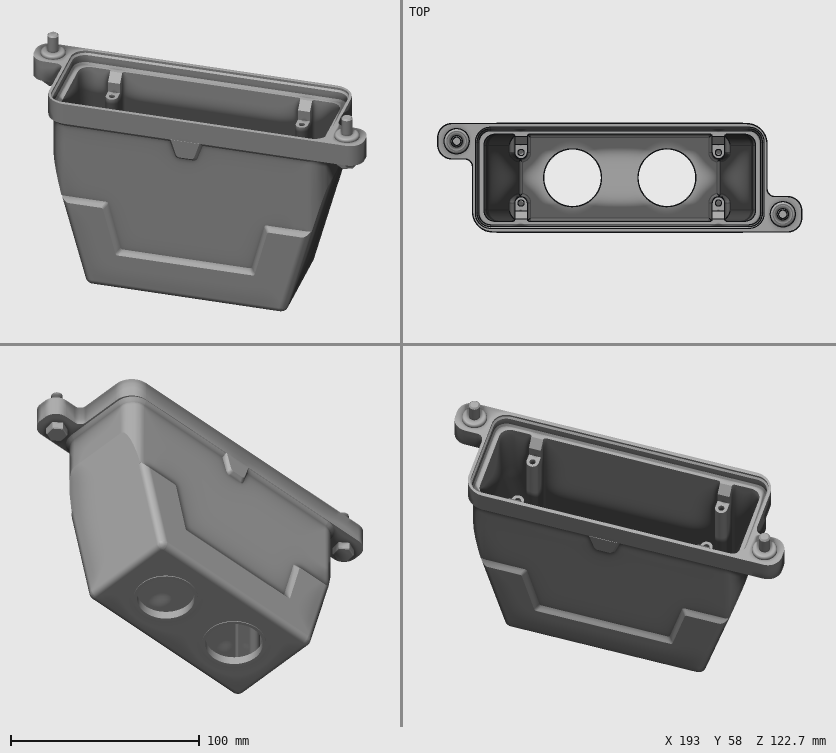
import cadquery as cq

TOTAL_LENGTH = 193.0
TOTAL_WIDTH = 58.0
TOTAL_HEIGHT = 122.7

FLANGE_HALF_X = 78.1
FLANGE_HALF_Y = 28.8
FLANGE_THICKNESS = 12.2
FLANGE_CORNER_R = 11.0
EAR_WIDTH = 18.9
EAR_CORNER_R = 7.7
EAR_INNER_R = 4.0
SKIRT_HEIGHT = 2.3
SKIRT_OVERHANG = 1.9

SCREW_TOP = 12.0
SCREW_DIAMETER = 6.0
SCREW_TIP_CHAMFER = 0.8
SCREW_X = 86.4
COLLAR_DIAMETER = 13.4
COLLAR_HEIGHT = 2.0
COLLAR_ROUND = 1.5
HEAD_ACROSS_CORNERS = 11.5
HEAD_TURN = 22.0
HEAD_GAP = 0.7
HEAD_HEIGHT = 4.5
HEAD_CHAMFER = 0.5

BODY_HALF_X = 75.2
BODY_HALF_Y = 26.7
BODY_CORNER_R = 8.8
BEND_Z = -34.7
WALL_LEAN = 0.269
BOSS_DIAMETER = 34.0
BOSS_HEIGHT = 0.4

PAD_TOP_Z = -58.1
PAD_EDGE_R = 4.0
PAD_BOTTOM_R = 3.5
PAD_SLOPE_DROP = 2.8
PAD_SLOPE_RUN = 2.2
NOTCH_TOP_HALF_X = 43.2
NOTCH_BOTTOM_HALF_X = 35.9
NOTCH_BOTTOM_Z = -86.2
NOTCH_CORNER_R = 2.0

LUG_TOP_HALF_X = 9.9
LUG_BOTTOM_HALF_X = 5.6
LUG_DEPTH = 12.2
LUG_INSET = 2.0
LUG_CORNER_R = 3.0

OPENING_HALF_X = 76.5
OPENING_HALF_Y = 26.8
OPENING_CORNER_R = 8.0
LEDGE_DEPTH = 7.5
LEDGE_CHAMFER = 1.0
OPENING_STEP = 0.9
OPENING_STEP_DEPTH = 2.2

CAVITY_TOP_HALF_X = 72.0
CAVITY_BEND_HALF_X = 70.2
CAVITY_FLOOR_HALF_X = 52.9
CAVITY_BEND_Z = -40.5
CAVITY_BEND_R = 20.0
CAVITY_HALF_Y = 23.1
CAVITY_CORNER_R = 6.0
FLOOR_THICKNESS = 5.0
FLOOR_FILLET = 1.8

ENTRY_DIAMETER = 30.5
ENTRY_X = 25.0
POST_X = 52.3
POST_Y = 13.4
POST_WIDTH = 6.6
POST_TOP_Z = -17.6
POST_FLARE_R = 1.3
POST_HOLE_DIAMETER = 3.3
POST_HOLE_DEPTH = 14.0
RAMP_TOP_Y = 21.8
RAMP_BOTTOM_Y = 17.5
POST_FOOT_FILLET = 1.5
WALL_OVERLAP = 1.0

BOTTOM_Z = SCREW_TOP - TOTAL_HEIGHT
SHELL_BOTTOM_Z = BOTTOM_Z + BOSS_HEIGHT
FLOOR_Z = BOTTOM_Z + FLOOR_THICKNESS
PAD_HALF_Y = TOTAL_WIDTH / 2
POST_R = POST_WIDTH / 2
SCREW_Y = FLANGE_HALF_Y - EAR_WIDTH / 2
HEAD_TOP_Z = -FLANGE_THICKNESS - HEAD_GAP


def rounded_box(half_x, half_y, top_z, height, radius):
    """Upright block with rounded vertical edges, hanging down from top_z."""
    block = cq.Workplane("XY", origin=(0, 0, top_z - height)).rect(2 * half_x, 2 * half_y)
    return block.extrude(height).edges("|Z").fillet(radius)


def side_loft(outer, inner, outer_y, inner_y):
    """Ruled solid between two XZ outlines at depths outer_y and inner_y on the -Y side."""
    front = cq.Workplane("XZ", origin=(0, -inner_y, 0)).polyline(inner).close()
    return front.workplane(offset=outer_y - inner_y).polyline(outer).close().loft(ruled=True)


def round_at(solid, x, y, z, radius):
    """Round the two mirrored edges of a solid whose middles lie nearest to (+-x, y, z)."""
    for side in (1, -1):
        edge = cq.selectors.NearestToPointSelector((side * x, y, z))
        solid = solid.edges(edge).fillet(radius)
    return solid


def both_sides(solid):
    """The solid together with its mirror image across the XZ plane."""
    return solid.union(solid.mirror("XZ"))


def end_wall_x(z):
    """Half-length of the leaning part of the body at height z."""
    return BODY_HALF_X - WALL_LEAN * (BEND_Z - z)


def symmetric_outline(right_points):
    """Closed outline from its right half, listed from bottom to top."""
    return right_points + [(-x, z) for x, z in reversed(right_points)]


def flange():
    plate = rounded_box(FLANGE_HALF_X, FLANGE_HALF_Y, 0, FLANGE_THICKNESS, FLANGE_CORNER_R)
    inner_x = FLANGE_HALF_X - 2 * FLANGE_CORNER_R
    ear_length = TOTAL_LENGTH / 2 - inner_x
    ear = cq.Workplane("XY").box(ear_length, EAR_WIDTH, FLANGE_THICKNESS)
    ear = ear.edges("|Z and >X").fillet(EAR_CORNER_R)
    ear = ear.translate((inner_x + ear_length / 2, -SCREW_Y, -FLANGE_THICKNESS / 2))
    plate = plate.union(ear).union(ear.rotate((0, 0, 0), (0, 0, 1), 180))
    corner_y = FLANGE_HALF_Y - EAR_WIDTH
    for sign in (1, -1):
        corner = cq.selectors.NearestToPointSelector(
            (sign * FLANGE_HALF_X, -sign * corner_y, -FLANGE_THICKNESS / 2)
        )
        plate = plate.edges(corner).fillet(EAR_INNER_R)
    return plate


def skirt():
    half_x = BODY_HALF_X + SKIRT_OVERHANG
    half_y = BODY_HALF_Y + SKIRT_OVERHANG
    radius = BODY_CORNER_R + SKIRT_OVERHANG
    height = FLANGE_THICKNESS + SKIRT_HEIGHT
    block = rounded_box(half_x, half_y, 0, height, radius)
    return block.faces("<Z").chamfer(SKIRT_HEIGHT, SKIRT_OVERHANG)


def upper_body():
    block = rounded_box(BODY_HALF_X, BODY_HALF_Y, 0, -PAD_TOP_Z, BODY_CORNER_R)
    outline = symmetric_outline([
        (end_wall_x(PAD_TOP_Z), PAD_TOP_Z),
        (BODY_HALF_X, BEND_Z),
        (BODY_HALF_X, 0),
    ])
    envelope = cq.Workplane("XZ").polyline(outline).close().extrude(PAD_HALF_Y, both=True)
    return block.intersect(envelope)


def lower_pads():
    outline = symmetric_outline([
        (end_wall_x(SHELL_BOTTOM_Z), SHELL_BOTTOM_Z),
        (end_wall_x(PAD_TOP_Z), PAD_TOP_Z),
    ])
    block = cq.Workplane("XZ").polyline(outline).close().extrude(PAD_HALF_Y, both=True)
    block = block.edges("(not |X) and (not |Y)").fillet(PAD_EDGE_R)
    return block.faces("<Z").edges().fillet(PAD_BOTTOM_R)


def pad_recess():
    """Region outside the body wall and above the notched upper edge of the pad."""
    def outline(drop, run):
        return symmetric_outline([
            (NOTCH_BOTTOM_HALF_X + run, NOTCH_BOTTOM_Z - drop),
            (NOTCH_TOP_HALF_X + run, PAD_TOP_Z - drop),
            (BODY_HALF_X, PAD_TOP_Z - drop),
            (BODY_HALF_X, BEND_Z),
        ])

    recess = side_loft(
        outline(PAD_SLOPE_DROP, PAD_SLOPE_RUN), outline(0, 0), PAD_HALF_Y, BODY_HALF_Y
    )
    mid_y = -(PAD_HALF_Y + BODY_HALF_Y) / 2
    mid_run = PAD_SLOPE_RUN / 2
    mid_drop = PAD_SLOPE_DROP / 2
    bottom_x = NOTCH_BOTTOM_HALF_X + mid_run
    recess = round_at(recess, bottom_x, mid_y, NOTCH_BOTTOM_Z - mid_drop, NOTCH_CORNER_R)
    top_x = NOTCH_TOP_HALF_X + mid_run
    recess = round_at(recess, top_x, mid_y, PAD_TOP_Z - mid_drop, NOTCH_CORNER_R)
    return both_sides(recess)


def lugs():
    top_z = -FLANGE_THICKNESS
    bottom_z = top_z - LUG_DEPTH
    inner = symmetric_outline([(LUG_BOTTOM_HALF_X, bottom_z), (LUG_TOP_HALF_X, top_z)])
    outer = symmetric_outline([
        (LUG_BOTTOM_HALF_X - LUG_INSET / 2, bottom_z + LUG_INSET),
        (LUG_TOP_HALF_X - LUG_INSET, top_z),
    ])
    lug = side_loft(outer, inner, PAD_HALF_Y, BODY_HALF_Y)
    corner_x = LUG_BOTTOM_HALF_X - LUG_INSET / 4
    corner_y = -(PAD_HALF_Y + BODY_HALF_Y) / 2
    return both_sides(round_at(lug, corner_x, corner_y, bottom_z + LUG_INSET / 2, LUG_CORNER_R))


def entry_points():
    return cq.Workplane("XY", origin=(0, 0, BOTTOM_Z)).pushPoints([(-ENTRY_X, 0), (ENTRY_X, 0)])


def opening():
    """Stepped recess in the flange, ending on the sealing ledge."""
    rim = rounded_box(OPENING_HALF_X, OPENING_HALF_Y, 0, OPENING_STEP_DEPTH, OPENING_CORNER_R)
    rim = rim.faces("<Z").chamfer(OPENING_STEP)
    well = rounded_box(
        OPENING_HALF_X - OPENING_STEP,
        OPENING_HALF_Y - OPENING_STEP,
        0,
        LEDGE_DEPTH,
        OPENING_CORNER_R - OPENING_STEP,
    )
    return rim.union(well.faces("<Z").chamfer(LEDGE_CHAMFER))


def cavity():
    outline = symmetric_outline([
        (CAVITY_FLOOR_HALF_X, FLOOR_Z),
        (CAVITY_BEND_HALF_X, CAVITY_BEND_Z),
        (CAVITY_TOP_HALF_X, -LEDGE_DEPTH),
    ])
    block = cq.Workplane("XZ").polyline(outline).close().extrude(CAVITY_HALF_Y, both=True)
    block = round_at(block, CAVITY_BEND_HALF_X, 0, CAVITY_BEND_Z, CAVITY_BEND_R)
    block = block.edges("(not |X) and (not |Y)").fillet(CAVITY_CORNER_R)
    posts = insert_post(POST_X).union(insert_post(-POST_X))
    block = block.cut(both_sides(posts))
    block = block.faces("<Z").edges().fillet(FLOOR_FILLET)
    flares = post_flare(POST_X).union(post_flare(-POST_X))
    foot = post_foot()
    feet = foot.union(foot.mirror("YZ"))
    return block.cut(both_sides(flares)).cut(both_sides(feet))


def insert_post(x):
    """Round-nosed post on the -Y wall, with a ramp from the ledge down to its top."""
    back_y = -CAVITY_HALF_Y - WALL_OVERLAP
    ramp_bottom_z = -LEDGE_DEPTH - (RAMP_TOP_Y - RAMP_BOTTOM_Y)
    nose = cq.Workplane("XY", origin=(x, -POST_Y, FLOOR_Z)).circle(POST_R).extrude(POST_TOP_Z - FLOOR_Z)
    web_outline = [
        (-POST_Y, FLOOR_Z),
        (-POST_Y, POST_TOP_Z),
        (-RAMP_BOTTOM_Y, POST_TOP_Z),
        (-RAMP_BOTTOM_Y, ramp_bottom_z),
        (-RAMP_TOP_Y, -LEDGE_DEPTH),
        (back_y, -LEDGE_DEPTH),
        (back_y, FLOOR_Z),
    ]
    web = cq.Workplane("YZ", origin=(x, 0, 0)).polyline(web_outline).close().extrude(POST_R, both=True)
    return nose.union(web)


def post_flare(x):
    """Hollow-rounded widening where a post joins the -Y wall."""
    wide = POST_R + POST_FLARE_R
    wall_y = -CAVITY_HALF_Y
    back_y = wall_y - WALL_OVERLAP
    tip_y = wall_y + POST_FLARE_R
    plan = (
        cq.Workplane("XY", origin=(x, 0, FLOOR_Z))
        .moveTo(-wide, back_y)
        .lineTo(-wide, wall_y)
        .radiusArc((-POST_R, tip_y), -POST_FLARE_R)
        .lineTo(POST_R, tip_y)
        .radiusArc((wide, wall_y), -POST_FLARE_R)
        .lineTo(wide, back_y)
        .close()
    )
    return plan.extrude(-LEDGE_DEPTH - FLOOR_Z)


def post_foot():
    """Filleted joint between the +X, -Y post and the leaning end wall of the cavity."""
    lean = (CAVITY_BEND_HALF_X - CAVITY_FLOOR_HALF_X) / (CAVITY_BEND_Z - FLOOR_Z)
    reach = POST_WIDTH
    low_z = FLOOR_Z - reach / lean
    high_z = FLOOR_Z + reach / lean
    wall_outline = [
        (CAVITY_FLOOR_HALF_X - reach, low_z),
        (CAVITY_FLOOR_HALF_X + reach, low_z),
        (CAVITY_FLOOR_HALF_X + reach, high_z),
    ]
    wall = cq.Workplane("XZ").polyline(wall_outline).close().extrude(CAVITY_HALF_Y)
    post = cq.Workplane("XY", origin=(POST_X, -POST_Y, low_z)).circle(POST_R).extrude(high_z - low_z)
    web = cq.Workplane("XY", origin=(POST_X, -(POST_Y + CAVITY_HALF_Y) / 2, low_z))
    web = web.rect(POST_WIDTH, CAVITY_HALF_Y - POST_Y).extrude(high_z - low_z)
    nose_z = FLOOR_Z + (POST_X - CAVITY_FLOOR_HALF_X) / lean
    nose_edge = cq.selectors.NearestToPointSelector((POST_X, POST_R - POST_Y, nose_z))
    return wall.union(post.union(web)).edges(nose_edge).fillet(POST_FOOT_FILLET)


def post_holes():
    points = [(x, y) for x in (-POST_X, POST_X) for y in (-POST_Y, POST_Y)]
    holes = cq.Workplane("XY", origin=(0, 0, POST_TOP_Z)).pushPoints(points)
    return holes.circle(POST_HOLE_DIAMETER / 2).extrude(-POST_HOLE_DEPTH)


def screw():
    """Clamping screw with its sealing collar on the flange and hexagon head below."""
    head_bottom_z = HEAD_TOP_Z - HEAD_HEIGHT
    shank = cq.Workplane("XY", origin=(0, 0, head_bottom_z)).circle(SCREW_DIAMETER / 2)
    shank = shank.extrude(SCREW_TOP - head_bottom_z).faces(">Z").chamfer(SCREW_TIP_CHAMFER)
    collar = cq.Workplane("XY").circle(COLLAR_DIAMETER / 2).extrude(COLLAR_HEIGHT)
    collar = collar.faces(">Z").edges().fillet(COLLAR_ROUND)
    head = cq.Workplane("XY", origin=(0, 0, head_bottom_z)).polygon(6, HEAD_ACROSS_CORNERS)
    head = head.extrude(HEAD_HEIGHT).faces("<Z").chamfer(HEAD_CHAMFER)
    head = head.rotate((0, 0, 0), (0, 0, 1), HEAD_TURN)
    return shank.union(collar).union(head)


body = upper_body().union(lower_pads().cut(pad_recess()))
body = body.union(flange()).union(skirt()).union(lugs())
body = body.union(entry_points().circle(BOSS_DIAMETER / 2).extrude(2 * BOSS_HEIGHT))

body = body.cut(opening()).cut(cavity()).cut(post_holes())
body = body.cut(entry_points().circle(ENTRY_DIAMETER / 2).extrude(2 * FLOOR_THICKNESS))

result = body
for side in (1, -1):
    result = result.union(screw().translate((side * SCREW_X, -side * SCREW_Y, 0)))